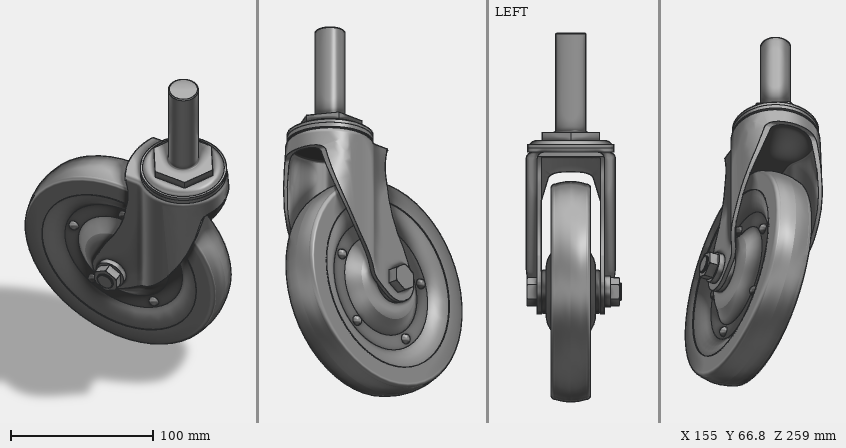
import cadquery as cq
import math

swivel_x = 43.8

wheel_radius = 77.5
tyre_half_width = 14.0
tread_half_width = 11.0
tread_crown = 1.8
shoulder_radius = 3.0
lip_radius = 61.0
lip_depth = 0.8
disc_outer_radius = 46.5
disc_inner_radius = 36.0
disc_half_width = 6.7
dish_bulge = 1.0
cone_top_radius = 26.5
cone_top_half_width = 14.2
boss_half_width = 17.4
dome_bulge = 1.0
hub_radius = 15.3
hub_rounding = 1.8
rivet_count = 5
rivet_radius = 3.5
rivet_circle_radius = 41.2

fork_inner_half_width = 20.7
sheet = 2.8
fork_half_width = fork_inner_half_width + sheet
fork_back_radius = 31.3
fork_top = 98.0
back_lean = 0.075
fork_bend_radius = 4.7
flank_start = swivel_x - 24.3
plate_front = 4.0
plate_front_radius = 49.7
eye_radius = 15.8
race_radius = 30.3
race_height = 3.0

flange_height = 2.3
dome_edge_radius = 28.7
dome_height = 2.8
dome_top_radius = 23.5
hex_height = 5.7
hex_flats = 40.5
stem_radius = 10.5
stem_top = 259 - wheel_radius
stem_root_fillet = 1.5
stem_tip_chamfer = 0.8

axle_radius = 6.2
axle_hex_flats = 17.0
hex_bevel = 0.5
axle_tip_chamfer = 0.5
head_end = 30.8
washer_radius = 11.0
washer_thickness = 4.1
nut_height = 6.5
axle_tip = 35.5


def corner_diameter(flats):
    """Distance across the corners of a hexagon with the given distance across flats."""
    return flats / math.cos(math.pi / 6)


def cylinder_y(radius, y_start, y_end):
    """Cylinder on the axle line between two Y positions."""
    plane = cq.Workplane("XZ", origin=(0, y_start, 0))
    return plane.circle(radius).extrude(y_start - y_end)


def arc_middle(start, end, centre, radius):
    """Point halfway along the short arc between two points of a circle."""
    mid_x = (start[0] + end[0]) / 2 - centre[0]
    mid_y = (start[1] + end[1]) / 2 - centre[1]
    scale = radius / math.hypot(mid_x, mid_y)
    return (centre[0] + mid_x * scale, centre[1] + mid_y * scale)


def wheel_half():
    """The -Y half of the wheel, revolved from its profile of (radius, half width)."""
    shoulder = wheel_radius - tread_crown
    crown_middle = (wheel_radius - tread_crown / 4, tread_half_width / 2)
    shoulder_middle = (
        shoulder - shoulder_radius * (1 - math.cos(math.pi / 4)),
        tread_half_width + shoulder_radius * math.sin(math.pi / 4),
    )
    dish_middle = (
        (lip_radius + disc_outer_radius) / 2,
        (tyre_half_width - lip_depth + disc_half_width) / 2 + dish_bulge,
    )
    dome_middle = (
        (cone_top_radius + hub_radius) / 2,
        (cone_top_half_width + boss_half_width) / 2 + dome_bulge,
    )
    hub_edge_inset = hub_rounding * (1 - math.sin(math.pi / 4))
    hub_edge_middle = (hub_radius - hub_edge_inset, fork_inner_half_width - hub_edge_inset)
    profile = (
        cq.Workplane("XY")
        .moveTo(axle_radius, 0)
        .lineTo(wheel_radius, 0)
        .threePointArc(crown_middle, (shoulder, tread_half_width))
        .threePointArc(shoulder_middle, (shoulder - shoulder_radius, tyre_half_width))
        .lineTo(lip_radius, tyre_half_width)
        .lineTo(lip_radius, tyre_half_width - lip_depth)
        .threePointArc(dish_middle, (disc_outer_radius, disc_half_width))
        .lineTo(disc_inner_radius, disc_half_width)
        .lineTo(cone_top_radius, cone_top_half_width)
        .threePointArc(dome_middle, (hub_radius, boss_half_width))
        .lineTo(hub_radius, fork_inner_half_width - hub_rounding)
        .threePointArc(hub_edge_middle, (hub_radius - hub_rounding, fork_inner_half_width))
        .lineTo(axle_radius, fork_inner_half_width)
        .close()
    )
    half = profile.revolve(360, (0, 0, 0), (0, 1, 0)).mirror("XZ")
    for index in range(rivet_count):
        angle = math.radians(90 + index * 360 / rivet_count)
        centre = (
            rivet_circle_radius * math.cos(angle),
            -disc_half_width,
            rivet_circle_radius * math.sin(angle),
        )
        half = half.union(cq.Workplane("XY").sphere(rivet_radius).translate(centre))
    return half


def make_wheel():
    half = wheel_half()
    return half.union(half.mirror("XZ"))


def fork_block(inset, top, bend_radius):
    """Solid with the plan outline of the fork moved inwards by `inset`, rounded along its top."""
    half_width = fork_half_width - inset
    back_radius = fork_back_radius - inset
    run = swivel_x - flank_start
    clear_radius = (run**2 + half_width**2 - back_radius**2) / (2 * (back_radius - half_width))
    flank_centre = (flank_start, half_width + clear_radius)
    reach = back_radius / (back_radius + clear_radius)
    flank_end = (swivel_x - run * reach, flank_centre[1] * reach)
    flank_middle = arc_middle((flank_start, half_width), flank_end, flank_centre, clear_radius)
    front = -2 * eye_radius
    bottom = -2 * eye_radius
    block = (
        cq.Workplane("XY", origin=(0, 0, bottom))
        .moveTo(front, -half_width)
        .lineTo(flank_start, -half_width)
        .threePointArc((flank_middle[0], -flank_middle[1]), (flank_end[0], -flank_end[1]))
        .threePointArc((swivel_x + back_radius, 0), flank_end)
        .threePointArc(flank_middle, (flank_start, half_width))
        .lineTo(front, half_width)
        .close()
        .extrude(top - bottom)
    )
    block = block.faces(">Z").edges("not <X").fillet(bend_radius)
    return block.union(leaning_back(back_radius, top - bend_radius, bottom))


def leaning_back(radius, top, bottom):
    """Half-round back that drifts to +X as it goes down, with flat flanks tangent to it."""
    drop = top - bottom
    drift = back_lean * drop
    outline = (
        cq.Workplane("XY", origin=(0, 0, top))
        .moveTo(swivel_x - drift, -radius)
        .lineTo(swivel_x, -radius)
        .threePointArc((swivel_x + radius, 0), (swivel_x, radius))
        .lineTo(swivel_x - drift, radius)
        .close()
        .val()
    )
    leaning = cq.Workplane(cq.Solid.extrudeLinear(outline, [], cq.Vector(drift, 0, -drop)))
    behind_swivel = cq.Workplane("XY", origin=(swivel_x, 0, bottom)).box(
        2 * radius, 2 * radius, drop, centered=(False, True, False)
    )
    return leaning.intersect(behind_swivel)


def fork_side_outline():
    """Side outline of the fork in X and Z, as a block across its full width."""
    leg_front_top = (10.4, fork_top - sheet)
    waist_middle = (12.5, 83.0)
    waist_end = (11.1, 71.2)
    leg_front_middle = (5.5, 47.0)
    leg_front_end = (-5.7, 25.0)
    back_edge_middle = (43.8, 18.5)
    back_edge_top = (68.5, 78.5)
    lip_bottom = 84.2
    notch_radius = lip_bottom - back_edge_top[1]
    notch_middle = (
        back_edge_top[0] + notch_radius * (1 - math.cos(math.pi / 4)),
        back_edge_top[1] + notch_radius * math.sin(math.pi / 4),
    )
    back = swivel_x + 2 * fork_back_radius
    distance = math.hypot(*leg_front_end)
    touch_angle = math.atan2(leg_front_end[1], leg_front_end[0]) + math.acos(eye_radius / distance)
    eye_front = (eye_radius * math.cos(touch_angle), eye_radius * math.sin(touch_angle))
    back_angle = math.radians(-60)
    eye_back = (eye_radius * math.cos(back_angle), eye_radius * math.sin(back_angle))
    eye_middle_angle = (touch_angle + back_angle + 2 * math.pi) / 2
    eye_middle = (eye_radius * math.cos(eye_middle_angle), eye_radius * math.sin(eye_middle_angle))
    return (
        cq.Workplane("XZ")
        .moveTo(plate_front, fork_top)
        .lineTo(plate_front, leg_front_top[1])
        .lineTo(*leg_front_top)
        .threePointArc(waist_middle, waist_end)
        .threePointArc(leg_front_middle, leg_front_end)
        .lineTo(*eye_front)
        .threePointArc(eye_middle, eye_back)
        .threePointArc(back_edge_middle, back_edge_top)
        .threePointArc(notch_middle, (back_edge_top[0] + notch_radius, lip_bottom))
        .lineTo(back, lip_bottom)
        .lineTo(back, fork_top)
        .close()
        .extrude(2 * fork_back_radius, both=True)
    )


def plate_front_overhang():
    """Material ahead of the curved front edge of the top plate and its bends."""
    base = cq.Workplane("XY", origin=(plate_front, 0, fork_top - fork_bend_radius))
    ahead = base.rect(2 * plate_front_radius, 2 * plate_front_radius).extrude(fork_bend_radius)
    return ahead.cut(base.center(plate_front_radius, 0).circle(plate_front_radius).extrude(fork_bend_radius))


def make_fork():
    shell = fork_block(0, fork_top, fork_bend_radius)
    shell = shell.cut(fork_block(sheet, fork_top - sheet, fork_bend_radius - sheet))
    fork = shell.intersect(fork_side_outline())
    fork = fork.cut(plate_front_overhang())
    race = cq.Workplane("XY", origin=(swivel_x, 0, fork_top)).circle(race_radius).extrude(race_height)
    fork = fork.union(race)
    return fork.cut(cylinder_y(axle_radius, fork_back_radius, -fork_back_radius))


def make_swivel_head():
    flange_bottom = fork_top + race_height
    flange_top = flange_bottom + flange_height
    dome_top = flange_top + dome_height
    hex_top = dome_top + hex_height
    spread = dome_edge_radius - dome_top_radius
    dome_radius = (spread**2 + dome_height**2) / (2 * dome_height)
    dome_centre = (dome_top_radius, dome_top - dome_radius)
    dome_start = (dome_edge_radius, flange_top)
    dome_end = (dome_top_radius, dome_top)
    flange = (
        cq.Workplane("XZ")
        .moveTo(0, flange_bottom)
        .lineTo(race_radius, flange_bottom)
        .lineTo(race_radius, flange_top)
        .lineTo(*dome_start)
        .threePointArc(arc_middle(dome_start, dome_end, dome_centre, dome_radius), dome_end)
        .lineTo(0, dome_top)
        .close()
        .revolve(360, (0, 0, 0), (0, 1, 0))
        .translate((swivel_x, 0, 0))
    )
    hexagon = (
        cq.Workplane("XY", origin=(swivel_x, 0, dome_top))
        .polygon(6, corner_diameter(hex_flats))
        .extrude(hex_height)
    )
    root_middle = stem_root_fillet * (1 - math.sin(math.pi / 4))
    stem = (
        cq.Workplane("XZ")
        .moveTo(0, dome_top)
        .lineTo(stem_radius + stem_root_fillet, dome_top)
        .lineTo(stem_radius + stem_root_fillet, hex_top)
        .threePointArc(
            (stem_radius + root_middle, hex_top + root_middle),
            (stem_radius, hex_top + stem_root_fillet),
        )
        .lineTo(stem_radius, stem_top - stem_tip_chamfer)
        .lineTo(stem_radius - stem_tip_chamfer, stem_top)
        .lineTo(0, stem_top)
        .close()
        .revolve(360, (0, 0, 0), (0, 1, 0))
        .translate((swivel_x, 0, 0))
    )
    return flange.union(hexagon).union(stem)


def axle_hexagon(y_start, y_end):
    """Hexagon on the axle with corners up and down, its corners bevelled at the y_end face."""
    corner_radius = corner_diameter(axle_hex_flats) / 2
    hexagon = (
        cq.Workplane("XZ", origin=(0, y_start, 0))
        .transformed(rotate=(0, 0, 30))
        .polygon(6, 2 * corner_radius)
        .extrude(y_start - y_end)
    )
    outer_face = ">Y" if y_end > y_start else "<Y"
    bevel = cylinder_y(corner_radius, y_start, y_end).faces(outer_face).chamfer(hex_bevel)
    return hexagon.intersect(bevel)


def make_axle():
    nut_start = -fork_half_width - washer_thickness
    shaft = cylinder_y(axle_radius, head_end, -axle_tip).faces("<Y").chamfer(axle_tip_chamfer)
    head = axle_hexagon(fork_half_width, head_end)
    washer = cylinder_y(washer_radius, -fork_half_width, nut_start)
    nut = axle_hexagon(nut_start, nut_start - nut_height)
    return shaft.union(head).union(washer).union(nut)


wheel = make_wheel()
fork = make_fork()
swivel_head = make_swivel_head()
axle = make_axle()

result = cq.Compound.makeCompound([wheel.val(), fork.val(), swivel_head.val(), axle.val()])